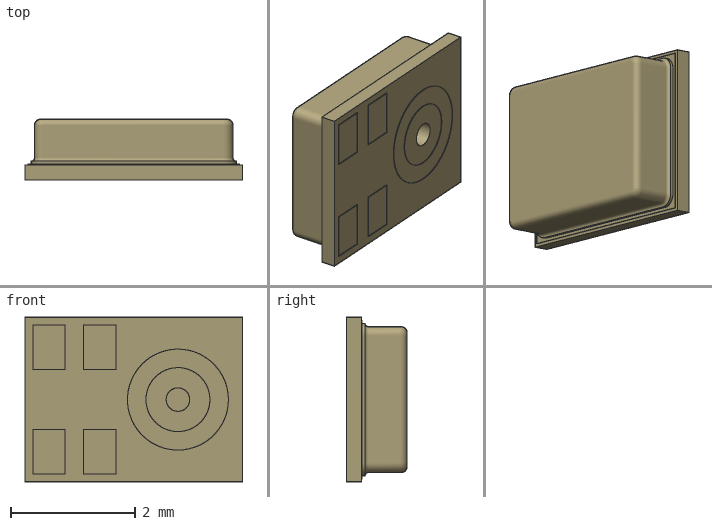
import cadquery as cq

board_length = 3.5
board_height = 2.65
board_thickness = 0.245

seat_margin = 0.05
seat_thickness = 0.01

overall_depth = 0.98

lid_length = 3.195
lid_height = 2.35
lid_corner_radius = 0.145
lid_edge_radius = 0.1
flange_width = 0.052
flange_thickness = 0.05
foot_radius = 0.05

contact_thickness = 0.01
pad_width = 0.518
pad_height = 0.718
pad_edge_margin = 0.125
pad_column_pitch = 0.82

port_x = 0.71
port_radius = 0.19
ring_outer_radius = 0.812
ring_inner_radius = 0.515

seat_top = board_thickness + seat_thickness
cap_depth = overall_depth - seat_top
first_pad_x = -board_length / 2 + pad_edge_margin + pad_width / 2
pad_row_z = board_height / 2 - pad_edge_margin - pad_height / 2
pad_centers = [
    (first_pad_x + column * pad_column_pitch, side * pad_row_z)
    for column in range(2)
    for side in (-1, 1)
]


def plane_at(y):
    """Sketch plane with X to the right and Z up, at depth y, facing -Y."""
    return cq.Workplane("XZ", origin=(0, y, 0))


def plate(length, height, start_y, thickness):
    """Centred rectangular plate that grows toward +Y from start_y."""
    return plane_at(start_y).rect(length, height).extrude(-thickness)


def make_pad(x, z):
    """One rectangular contact pad."""
    return plane_at(0).center(x, z).rect(pad_width, pad_height).extrude(-contact_thickness)


def make_ring():
    """Ring contact around the sound port."""
    return (
        plane_at(0)
        .center(port_x, 0)
        .circle(ring_outer_radius)
        .circle(ring_inner_radius)
        .extrude(-contact_thickness)
    )


def make_board(contacts):
    """Board with a recess for each contact and the sound port through it."""
    board = plate(board_length, board_height, 0, board_thickness)
    for contact in contacts:
        board = board.cut(contact)
    port = plane_at(0).center(port_x, 0).circle(port_radius).extrude(-board_thickness)
    return board.cut(port)


def make_lid():
    """Rounded cap, flaring by a concave fillet into its flange, on a thin seat."""
    seat = plate(
        board_length - 2 * seat_margin,
        board_height - 2 * seat_margin,
        board_thickness,
        seat_thickness,
    )
    flange = (
        plate(
            lid_length + 2 * flange_width,
            lid_height + 2 * flange_width,
            seat_top,
            flange_thickness,
        )
        .edges("|Y")
        .fillet(lid_corner_radius + flange_width)
    )
    cap = (
        plate(lid_length, lid_height, seat_top, cap_depth)
        .edges("|Y")
        .fillet(lid_corner_radius)
        .faces(">Y")
        .edges()
        .fillet(lid_edge_radius)
    )
    cap_on_flange = cap.union(flange)
    flange_top_face = cap_on_flange.faces("+Y").faces("<Y")
    foot_edges = flange_top_face.val().innerWires()[0].Edges()
    return cap_on_flange.newObject(foot_edges).fillet(foot_radius).union(seat)


pads = [make_pad(x, z) for x, z in pad_centers]
ring = make_ring()
board = make_board([*pads, ring])
lid = make_lid()

result = cq.Compound.makeCompound(
    [board.val(), lid.val(), ring.val(), *[pad.val() for pad in pads]]
)